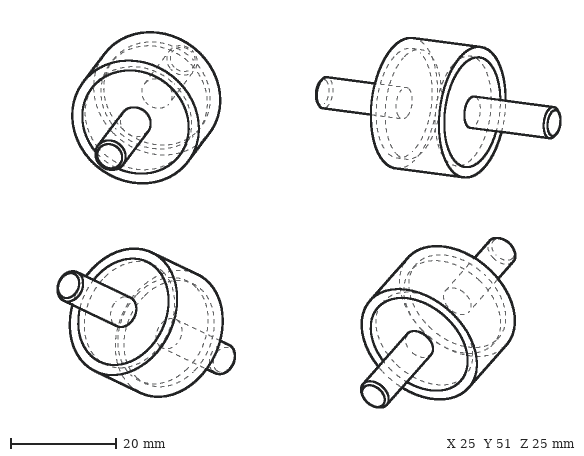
import cadquery as cq

rubber_diameter = 25.0
rubber_length = 15.0
plate_diameter = 21.0
plate_thickness = 2.0
stud_diameter = 6.0
stud_length = 18.0
stud_chamfer = 0.54

half_rubber = rubber_length / 2


def cylinder_along_y(diameter, start_y, length):
    """Cylinder on the Y axis, running from start_y toward +Y."""
    axis_start = cq.Vector(0, start_y, 0)
    solid = cq.Solid.makeCylinder(diameter / 2, length, axis_start, cq.Vector(0, 1, 0))
    return cq.Workplane(solid)


def make_rubber():
    """Rubber cylinder with a flush round recess in each end for the plates."""
    rubber = cylinder_along_y(rubber_diameter, -half_rubber, rubber_length)
    for recess_start in (-half_rubber, half_rubber - plate_thickness):
        rubber = rubber.cut(cylinder_along_y(plate_diameter, recess_start, plate_thickness))
    return rubber


def make_stud(angle):
    """Round plate with a chamfered stud toward -Y, turned about Z by the angle."""
    plate = cylinder_along_y(plate_diameter, -half_rubber, plate_thickness)
    shank = cylinder_along_y(stud_diameter, -half_rubber - stud_length, stud_length)
    shank = shank.faces("<Y").chamfer(stud_chamfer)
    return plate.union(shank).rotate((0, 0, 0), (0, 0, 1), angle)


rubber = make_rubber()
studs = [make_stud(angle) for angle in (0, 180)]

result = cq.Compound.makeCompound([rubber.solids().val(), *(stud.solids().val() for stud in studs)])